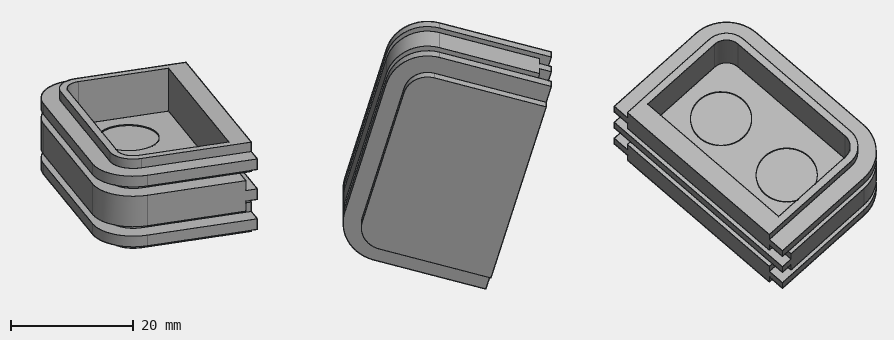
import cadquery as cq

width = 38.4
depth = 26.0
flange_overhang = 3.0
core_corner_radius = 4.0

rim_height = 1.7
flange_height = 1.92
groove_height = 1.7
band_height = 5.5
height = 2 * (rim_height + flange_height + groove_height) + band_height

tongue_length = 2.0
tongue_height = 1.92

side_wall = 1.25
back_wall = 3.45
pocket_depth = 7.7

recess_diameter = 10.0
recess_spacing = 14.98
recess_from_back = 12.95
recess_depth = 0.2

back_y = depth / 2


def rounded_front_block(inset, back_inset, bottom, thickness):
    """Block with square back corners, inset from the outer sides, with concentric front corners."""
    block_width = width - 2 * inset
    block_depth = depth - inset - back_inset
    corner_radius = core_corner_radius + flange_overhang - inset
    return (
        cq.Workplane("XY")
        .box(block_width, block_depth, thickness, centered=(True, False, False))
        .edges("|Z and <Y")
        .fillet(corner_radius)
        .translate((0, inset - depth / 2, bottom))
    )


body = rounded_front_block(flange_overhang, 0, 0, height)
band_bottom = rim_height + flange_height + groove_height
upper_flange_bottom = height - rim_height - flange_height
for bottom, thickness in (
    (rim_height, flange_height),
    (band_bottom, band_height),
    (upper_flange_bottom, flange_height),
):
    body = body.union(rounded_front_block(0, 0, bottom, thickness))

slot_height = (band_height - tongue_height) / 2
for bottom in (band_bottom, band_bottom + slot_height + tongue_height):
    slot = cq.Workplane("XY").box(width, tongue_length, slot_height, centered=(True, False, False))
    body = body.cut(slot.translate((0, back_y - tongue_length, bottom)))

pocket_floor = height - pocket_depth
pocket = rounded_front_block(flange_overhang + side_wall, back_wall, pocket_floor, pocket_depth)
body = body.cut(pocket)

recesses = (
    cq.Workplane("XY", origin=(0, back_y - recess_from_back, pocket_floor - recess_depth))
    .pushPoints([(-recess_spacing / 2, 0), (recess_spacing / 2, 0)])
    .circle(recess_diameter / 2)
    .extrude(recess_depth)
)

result = body.cut(recesses)